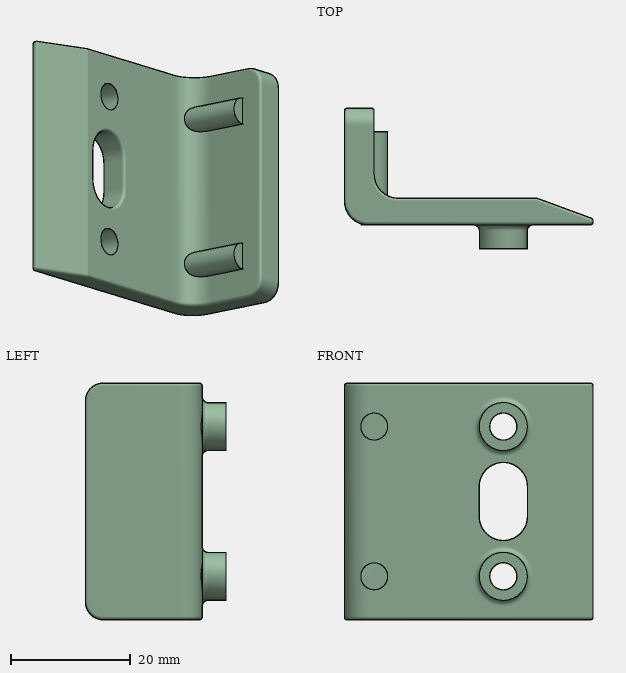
import cadquery as cq

length = 41.5
height = 39.5
wall_depth = 19.5
plate_thickness = 4.5
wall_thickness = 5.0
bend_radius = 4.0
wall_corner_radius = 3.0
edge_radius = 0.5

taper_length = 9.38
tip_thickness = 1.05

column_x = 26.5
feature_spacing = 25.0
boss_diameter = 8.0
boss_length = 4.0
boss_fillet = 1.0
bore_diameter = 4.5
slot_width = boss_diameter
slot_length = 13.0

pin_diameter = 4.5
pin_length = 15.55
pin_x = wall_thickness
lower_pin_turn = 45.0
upper_pin_turn = 0.0

mid_z = height / 2
pair_heights = [mid_z - feature_spacing / 2, mid_z + feature_spacing / 2]


def cylinder_along_y(x, z, diameter, y_start, y_end):
    """Cylinder parallel to Y between two Y positions."""
    return cq.Workplane(
        cq.Solid.makeCylinder(
            diameter / 2, y_end - y_start, cq.Vector(x, y_start, z), cq.Vector(0, 1, 0)
        )
    )


def make_blank():
    """L-shaped blank with a tapered end, rounded bend and softened edges."""
    profile = [
        (0, 0),
        (length, 0),
        (length, tip_thickness),
        (length - taper_length, plate_thickness),
        (wall_thickness, plate_thickness),
        (wall_thickness, wall_depth),
        (0, wall_depth),
    ]
    blank = cq.Workplane("XY").polyline(profile).close().extrude(height)
    outer_bend = cq.selectors.NearestToPointSelector((0, 0, mid_z))
    inner_bend = cq.selectors.NearestToPointSelector((wall_thickness, plate_thickness, mid_z))
    blank = blank.edges(outer_bend).fillet(bend_radius)
    blank = blank.edges(inner_bend).fillet(bend_radius)
    blank = blank.faces(">Y").edges("|X").fillet(wall_corner_radius)

    outline_points = [
        (length / 2, 0),
        (wall_thickness, wall_depth / 2),
        (length - taper_length / 2, (plate_thickness + tip_thickness) / 2),
        (length, tip_thickness / 2),
    ]
    sharp_edges = blank.faces(">X").edges("|Z")
    for x, y in outline_points:
        for z in (0, height):
            nearest = cq.selectors.NearestToPointSelector((x, y, z))
            sharp_edges = sharp_edges.add(blank.edges(nearest))
    return sharp_edges.fillet(edge_radius)


def add_boss(bracket, z):
    """Boss on the outer face with a concave fillet at its root."""
    boss_radius = boss_diameter / 2
    profile = (
        cq.Workplane("XY")
        .moveTo(0, plate_thickness / 2)
        .lineTo(boss_radius + boss_fillet, plate_thickness / 2)
        .lineTo(boss_radius + boss_fillet, 0)
        .radiusArc((boss_radius, -boss_fillet), -boss_fillet)
        .lineTo(boss_radius, -boss_length)
        .lineTo(0, -boss_length)
        .close()
    )
    boss = profile.revolve(360, (0, 0), (0, 1)).translate((column_x, 0, z))
    bore = cylinder_along_y(column_x, z, bore_diameter, -boss_length, plate_thickness)
    return bracket.union(boss).cut(bore)


def cut_slot(bracket):
    """Slot through the plate, rounded where it opens on the inner face."""
    slot = (
        cq.Workplane("XZ")
        .center(column_x, mid_z)
        .slot2D(slot_length, slot_width, 90)
        .extrude(-plate_thickness)
    )
    reach = slot_length / 2 + edge_radius
    slot_rim = cq.selectors.BoxSelector(
        (column_x - slot_width, plate_thickness - edge_radius, mid_z - reach),
        (column_x + slot_width, plate_thickness + edge_radius, mid_z + reach),
    )
    return bracket.cut(slot).edges(slot_rim).fillet(edge_radius)


def pin_cylinder(z):
    """Full round of a pin, which is also the hole it sits in."""
    return cylinder_along_y(pin_x, z, pin_diameter, 0, pin_length)


def make_pin(z, turn):
    """Pin with its front end trimmed to the outer bend, then turned about its own axis."""
    corner = cq.Workplane("XY").rect(bend_radius, bend_radius, centered=False).extrude(height)
    bend = cq.Workplane("XY").center(bend_radius, bend_radius).circle(bend_radius).extrude(height)
    pin = pin_cylinder(z).cut(corner.cut(bend))
    return pin.rotate((pin_x, 0, z), (pin_x, 1, z), turn)


def make_bracket():
    """Bracket with slot, bored bosses and pin holes."""
    bracket = cut_slot(make_blank())
    for z in pair_heights:
        bracket = add_boss(bracket, z)
        bracket = bracket.cut(pin_cylinder(z))
    return bracket


pins = [make_pin(z, turn) for z, turn in zip(pair_heights, [lower_pin_turn, upper_pin_turn])]
bracket = make_bracket()

result = cq.Compound.makeCompound([bracket.val(), *[pin.val() for pin in pins]])